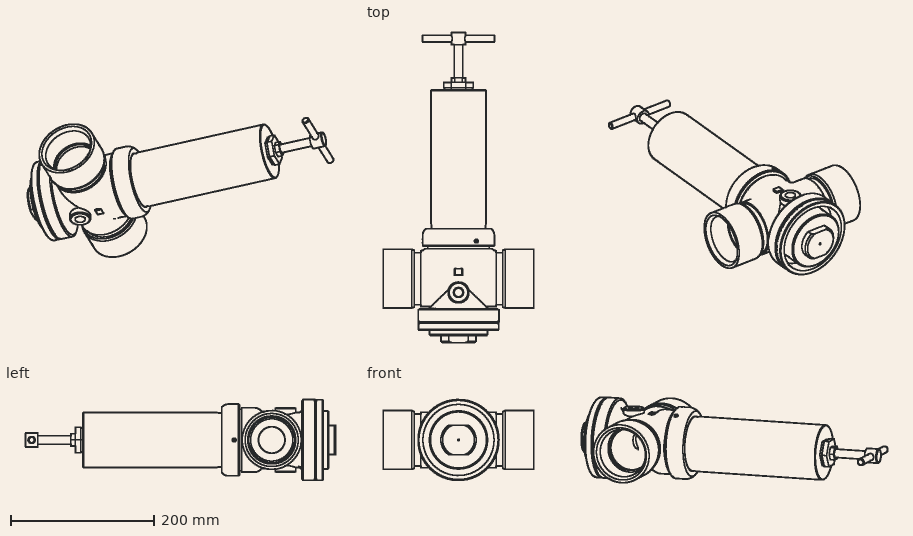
import cadquery as cq
import math


pipe_half_length = 105.0
pipe_end_radius = 41.1
pipe_end_inner_x = 61.6
pipe_end_chamfer = 1.5
pipe_end_chamfer_length = 3.3
relief_radius = 36.5
barrel_radius = 39.0
barrel_half_length = 52.6

mouth_radius = 37.0
socket_radius = 33.5
mouth_chamfer_length = 6.0
socket_inner_radius = 32.0
socket_depth = 34.0
seat_radius = 29.5
seat_length = 5.0
throat_radius = 18.3
throat_half_length = 30.0

bulb_radius = 45.0
bulb_round_radius = 12.0
bulb_bottom_level = 12.0
bulb_top_level = 42.0
bulb_fillet = 8.0
neck_radius = 43.0
neck_top_level = 44.9

lug_half_width = 6.0
lug_height = 40.0
lug_end_level = 4.5
lug_chamfer = 1.2

branch_radius = 38.5
flange_radius = 56.5
flange_back_radius = 54.0
flare_radius = 4.5
flange_back_level = -42.0
flange_top_level = -43.6
flange_bottom_level = -59.7

port_level = -19.2
port_boss_radius = 14.6
port_boss_height = 45.0
port_boss_chamfer = 1.5
port_radius = 6.0
port_entry_radius = 7.0
port_entry_depth = 12.0

cover_spigot_radius = 54.5
cover_radius = 56.2
cover_top_level = -62.3
cover_rim_level = -71.6
cover_chamfer = 1.0
recess_radius = 49.6
recess_floor_level = -48.0
plug_radius = 52.0
plug_top_level = -46.0
hub_radius = 40.6
hub_chamfer = 1.5
hub_end_level = -79.3
key_radius = 24.6
key_half_width = 20.3
key_end_level = -89.4
key_chamfer = 2.3
center_mark_radius = 1.0
center_mark_depth = 2.0

collar_radius = 50.2
collar_shoulder_radius = 45.5
collar_shoulder_level = 60.3
collar_top_level = 69.8
collar_base_chamfer = 1.5
screw_level = 52.4
screw_radius = 2.6
screw_length = 8.0
screw_recess = 0.5
screw_slot_width = 0.8
screw_slot_depth = 1.0
screw_angles = (60.0, 180.0)

housing_radius = 38.5
housing_top_level = 263.2
housing_top_chamfer = 1.0
housing_groove_radius = 37.8
housing_groove_bottom_level = 73.4
housing_groove_top_level = 77.0

large_nut_flats = 36.0
large_nut_top_level = 273.6
large_nut_base_height = 3.0
large_nut_base_flats = 34.0
lock_nut_flats = 17.5
lock_nut_top_level = 280.0

spindle_radius = 6.0
spindle_end_level = 250.8
head_radius = 10.0
head_bottom_level = 326.2
head_top_level = 343.8
head_chamfer = 1.0
bar_radius = 4.8
bar_half_length = 50.5
bar_level = 334.7
bar_chamfer = 1.0


def turned(points):
    """Solid turned about the Y axis from (radius, level) points."""
    return cq.Workplane("XY").polyline(points).close().revolve(360, (0, 0, 0), (0, 1, 0))


def y_rod(radius, bottom_level, top_level):
    """Round rod on the Y axis between two levels."""
    plane = cq.Workplane("XZ", origin=(0, bottom_level, 0))
    return plane.circle(radius).extrude(bottom_level - top_level)


def x_turned(points):
    """Solid turned about the X axis from (x, radius) points."""
    return cq.Workplane("XY").polyline(points).close().revolve(360, (0, 0, 0), (1, 0, 0))


def pipe_run():
    half = [
        (barrel_half_length, barrel_radius),
        (barrel_half_length, relief_radius),
        (pipe_end_inner_x, relief_radius),
        (pipe_end_inner_x, pipe_end_radius - pipe_end_chamfer),
        (pipe_end_inner_x + pipe_end_chamfer_length, pipe_end_radius),
        (pipe_half_length, pipe_end_radius),
        (pipe_half_length, 0),
    ]
    mirrored = [(-x, radius) for x, radius in reversed(half)]
    return x_turned(mirrored + half)


def half_bore():
    """Bore of the +X half: socket, seat and a bellmouth that runs tangent into the throat."""
    seat_outer_x = pipe_half_length - socket_depth
    seat_inner_x = seat_outer_x - seat_length
    return (
        cq.Workplane("XY")
        .moveTo(0, 0)
        .lineTo(0, throat_radius)
        .lineTo(throat_half_length, throat_radius)
        .tangentArcPoint((seat_inner_x, seat_radius), relative=False)
        .lineTo(seat_outer_x, seat_radius)
        .lineTo(seat_outer_x, socket_inner_radius)
        .lineTo(pipe_half_length - mouth_chamfer_length, socket_radius)
        .lineTo(pipe_half_length, mouth_radius)
        .lineTo(pipe_half_length, 0)
        .close()
        .revolve(360, (0, 0, 0), (1, 0, 0))
    )


def bulb(top_level):
    """Round bulb on the Y axis whose lower edge is rounded."""
    round_center_level = bulb_bottom_level + bulb_round_radius
    return (
        cq.Workplane("XY")
        .moveTo(0, top_level)
        .lineTo(bulb_radius, top_level)
        .lineTo(bulb_radius, round_center_level)
        .tangentArcPoint((bulb_radius - bulb_round_radius, bulb_bottom_level), relative=False)
        .lineTo(0, bulb_bottom_level)
        .close()
        .revolve(360, (0, 0, 0), (0, 1, 0))
    )


def barrel_with_bulb():
    """Barrel and bulb blended by a fillet, which the barrel ends and the bulb top cut off."""
    long_barrel = cq.Workplane("YZ", origin=(-pipe_half_length, 0, 0)).circle(barrel_radius)
    long_barrel = long_barrel.extrude(2 * pipe_half_length)
    blend = long_barrel.union(bulb(2 * bulb_top_level))
    seam = [edge for edge in blend.edges().vals() if edge.geomType() == "BSPLINE"]
    blend = blend.newObject(seam).fillet(bulb_fillet)
    envelope = cq.Workplane("XY").box(2 * barrel_half_length, 2 * bulb_top_level, 4 * barrel_radius)
    return blend.intersect(envelope)


def branch_and_flange():
    return (
        cq.Workplane("XY")
        .moveTo(0, 0)
        .lineTo(branch_radius, 0)
        .lineTo(branch_radius, flange_back_level + flare_radius)
        .tangentArcPoint((branch_radius + flare_radius, flange_back_level), relative=False)
        .lineTo(flange_back_radius, flange_back_level)
        .lineTo(flange_radius, flange_top_level)
        .lineTo(flange_radius, flange_bottom_level)
        .lineTo(0, flange_bottom_level)
        .close()
        .revolve(360, (0, 0, 0), (0, 1, 0))
    )


def make_lugs():
    lug_length = bulb_bottom_level + bulb_round_radius - lug_end_level
    lugs = cq.Workplane("XY").box(2 * lug_half_width, lug_length, 2 * lug_height)
    lugs = lugs.faces("<Z or >Z").chamfer(lug_chamfer)
    return lugs.translate((0, lug_end_level + lug_length / 2, 0))


def make_body():
    body = pipe_run().union(barrel_with_bulb())
    body = body.union(branch_and_flange())
    body = body.union(y_rod(neck_radius, bulb_top_level, neck_top_level))
    body = body.union(make_lugs())
    bosses = (
        cq.Workplane("XY", origin=(0, port_level, -port_boss_height))
        .circle(port_boss_radius)
        .extrude(2 * port_boss_height)
        .faces("<Z or >Z")
        .chamfer(port_boss_chamfer)
    )
    bore = half_bore()
    body = body.union(bosses).cut(bore).cut(bore.mirror("YZ"))
    body = body.cut(y_rod(plug_radius, flange_bottom_level, plug_top_level))
    port = cq.Workplane("XY", origin=(0, port_level, -port_boss_height)).circle(port_radius)
    body = body.cut(port.extrude(2 * port_boss_height))
    for side in (-1, 1):
        entry = cq.Workplane("XY", origin=(0, port_level, side * port_boss_height)).circle(port_entry_radius)
        body = body.cut(entry.extrude(-side * port_entry_depth))
    return body


def make_cover():
    cover = turned([
        (0, plug_top_level),
        (plug_radius, plug_top_level),
        (plug_radius, flange_bottom_level),
        (cover_spigot_radius, flange_bottom_level),
        (cover_spigot_radius, cover_top_level),
        (cover_radius, cover_top_level),
        (cover_radius, cover_rim_level + cover_chamfer),
        (cover_radius - cover_chamfer, cover_rim_level),
        (recess_radius, cover_rim_level),
        (recess_radius, recess_floor_level),
        (hub_radius, recess_floor_level),
        (hub_radius, hub_end_level + hub_chamfer),
        (hub_radius - hub_chamfer, hub_end_level),
        (0, hub_end_level),
    ])
    key = y_rod(key_radius, key_end_level, hub_end_level).faces("<Y").chamfer(key_chamfer)
    key_height = hub_end_level - key_end_level
    flats = cq.Workplane("XY").box(2 * key_radius, key_height, 2 * key_half_width)
    flats = flats.translate((0, (hub_end_level + key_end_level) / 2, 0))
    mark = y_rod(center_mark_radius, key_end_level, key_end_level + center_mark_depth)
    return cover.union(key.intersect(flats)).cut(mark)


def radial_rod(radius, inner, outer, angle):
    """Rod pointing outwards at the screw level, turned about Y from +X towards +Z."""
    rod = cq.Workplane("YZ", origin=(inner, screw_level, 0)).circle(radius).extrude(outer - inner)
    return rod.rotate((0, 0, 0), (0, 1, 0), -angle)


def make_collar():
    collar = (
        cq.Workplane("XY")
        .moveTo(housing_radius, neck_top_level)
        .lineTo(collar_radius - collar_base_chamfer, neck_top_level)
        .lineTo(collar_radius, neck_top_level + collar_base_chamfer)
        .lineTo(collar_radius, collar_shoulder_level)
        .tangentArcPoint((collar_shoulder_radius, collar_top_level), relative=False)
        .lineTo(housing_radius, collar_top_level)
        .close()
        .revolve(360, (0, 0, 0), (0, 1, 0))
    )
    for angle in screw_angles:
        collar = collar.cut(radial_rod(screw_radius, collar_radius - screw_recess - screw_length,
                                       collar_radius + 1, angle))
    return collar


def make_screw(angle):
    outer = collar_radius - screw_recess
    screw = radial_rod(screw_radius, outer - screw_length, outer, angle)
    slot = cq.Workplane("XY").box(2 * screw_slot_depth, screw_slot_width, 2 * screw_radius)
    slot = slot.translate((outer, screw_level, 0)).rotate((0, 0, 0), (0, 1, 0), -angle)
    return screw.cut(slot)


def make_housing():
    return turned([
        (0, neck_top_level),
        (housing_radius, neck_top_level),
        (housing_radius, collar_top_level),
        (housing_groove_radius, collar_top_level),
        (housing_groove_radius, housing_groove_bottom_level),
        (housing_radius, housing_groove_top_level),
        (housing_radius, housing_top_level - housing_top_chamfer),
        (housing_radius - housing_top_chamfer, housing_top_level),
        (0, housing_top_level),
    ]).cut(y_rod(spindle_radius, spindle_end_level, housing_top_level))


def hex_corner_diameter(flats):
    return flats / math.cos(math.pi / 6)


def hex_prism(flats, bottom_level, top_level):
    plane = cq.Workplane("XZ", origin=(0, bottom_level, 0))
    return plane.polygon(6, hex_corner_diameter(flats)).extrude(bottom_level - top_level)


def make_large_nut():
    base_top_level = housing_top_level + large_nut_base_height
    base = hex_prism(large_nut_base_flats, housing_top_level, base_top_level)
    nut = hex_prism(large_nut_flats, base_top_level, large_nut_top_level).union(base)
    return nut.cut(y_rod(spindle_radius, housing_top_level, large_nut_top_level))


def make_lock_nut():
    nut = hex_prism(lock_nut_flats, large_nut_top_level, lock_nut_top_level)
    return nut.cut(y_rod(spindle_radius, large_nut_top_level, lock_nut_top_level))


def bar_rod():
    return cq.Workplane("YZ", origin=(-bar_half_length, bar_level, 0)).circle(bar_radius).extrude(2 * bar_half_length)


def make_spindle():
    head = y_rod(head_radius, head_bottom_level, head_top_level).faces(">Y").chamfer(head_chamfer)
    return head.union(y_rod(spindle_radius, spindle_end_level, head_bottom_level)).cut(bar_rod())


def make_tommy_bar():
    return bar_rod().faces("<X or >X").chamfer(bar_chamfer)


body = make_body()
cover = make_cover()
collar = make_collar()
screws = [make_screw(angle) for angle in screw_angles]
housing = make_housing()
large_nut = make_large_nut()
lock_nut = make_lock_nut()
spindle = make_spindle()
tommy_bar = make_tommy_bar()

result = cq.Compound.makeCompound([
    body.val(),
    cover.val(),
    collar.val(),
    *[screw.val() for screw in screws],
    housing.val(),
    large_nut.val(),
    lock_nut.val(),
    spindle.val(),
    tommy_bar.val(),
])